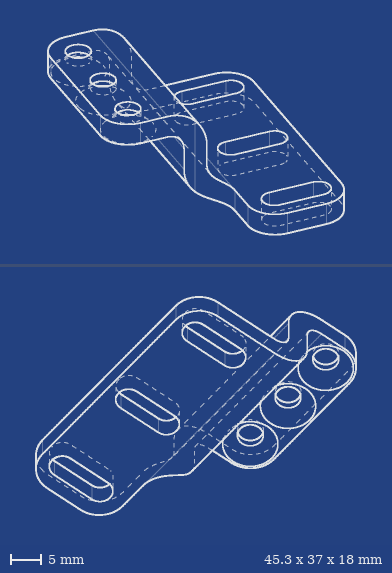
import cadquery as cq

length = 45.25
depth = 37.0
height = 18.0
thickness = 4.0
upper_length = 30.0

inner_bend = 3.0
outer_bend = inner_bend + thickness
corner_radius = 5.0
web_front = 13.0
web_back = web_front + thickness
lower_front = web_back + inner_bend

hole_diameter = 4.3
countersink_depth = 2.45
countersink_diameter = hole_diameter + 2 * countersink_depth
hole_inset = 5.02
hole_pitch = 10.0
slot_length = 12.3
slot_pitch = (length - 2 * hole_inset) / 2
slot_center_y = 28.82


def bent_sheet():
    """Z-shaped sheet profile, extruded over the full length along X."""
    web = (
        cq.Workplane("YZ")
        .moveTo(0, height - thickness)
        .lineTo(web_front, height - thickness)
        .lineTo(web_front, 0)
        .lineTo(depth, 0)
        .lineTo(depth, thickness)
        .lineTo(web_back, thickness)
        .lineTo(web_back, height)
        .lineTo(0, height)
        .close()
        .extrude(length)
    )

    def round_bend(body, y, z, radius):
        edge = cq.selectors.NearestToPointSelector((length / 2, y, z))
        return body.edges("|X").edges(edge).fillet(radius)

    web = round_bend(web, web_front, height - thickness, inner_bend)
    web = round_bend(web, web_back, thickness, inner_bend)
    web = round_bend(web, web_front, 0, outer_bend)
    return round_bend(web, web_back, height, outer_bend)


def plan_outline():
    """L-shaped plan: a narrow upper flange in front of a long lower plate."""
    outline = (
        cq.Workplane("XY")
        .polyline([
            (0, 0),
            (upper_length, 0),
            (upper_length, lower_front),
            (length, lower_front),
            (length, depth),
            (0, depth),
        ])
        .close()
        .extrude(height)
    )
    return outline.edges("|Z").fillet(corner_radius)


def upper_holes():
    """Row of round holes in the upper flange, with 90 degree countersinks from below."""
    centers = [(hole_inset + i * hole_pitch, hole_inset) for i in range(3)]
    flange_underside = cq.Workplane("XY").workplane(offset=height - thickness).pushPoints(centers)
    holes = flange_underside.circle(hole_diameter / 2).extrude(thickness)
    countersinks = flange_underside.circle(countersink_diameter / 2).extrude(countersink_depth, taper=45)
    return holes.union(countersinks)


def lower_slots():
    """Row of slots, long along Y, in the lower plate."""
    centers = [(hole_inset + i * slot_pitch, slot_center_y) for i in range(3)]
    return cq.Workplane("XY").pushPoints(centers).slot2D(slot_length, hole_diameter, 90).extrude(height)


result = bent_sheet().intersect(plan_outline()).cut(upper_holes()).cut(lower_slots())